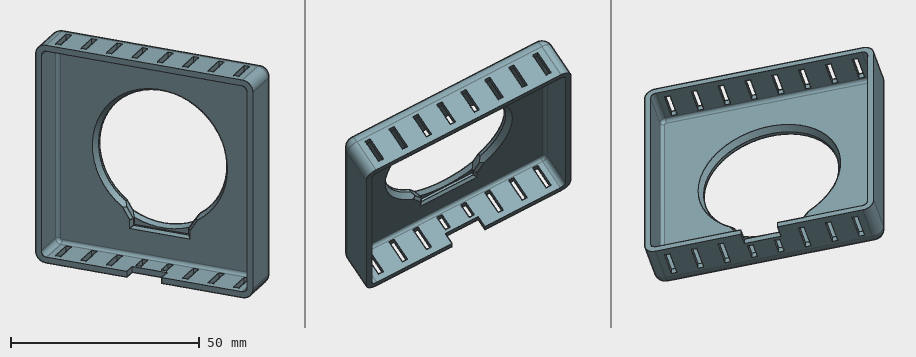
import cadquery as cq
import math

SIZE = 63.0
DEPTH = 13.0
WALL = 1.7
FLOOR = 2.65
EDGE_RADIUS = 3.0
INNER_CORNER_RADIUS = 1.5
INNER_FLOOR_RADIUS = 1.0

WINDOW_RADIUS = 18.6
COUNTERSINK_RADIUS = 19.6
COUNTERSINK_DEPTH = 1.75

KEY_WIDTH = 16.0
KEY_BOTTOM = -21.4
KEY_SHOULDER = -19.45
KEY_TOP = -12.6
KEY_FLARE_ANGLE = 32
KEY_CHAMFER = 0.75
CHAMFER_ANGLE = 45
KEY_DEPTH = 1.45
KEY_TAPER_INNER_RADIUS = 21.0
KEY_TAPER_OUTER_RADIUS = 20.05

SLOT_COUNT = 8
SLOT_PITCH = 7.4
SLOT_WIDTH = 1.5
SLOT_LENGTH = 7.0
SLOT_SETBACK = 4.05
SHORT_SLOT_LENGTH = 4.35

NOTCH_WIDTH = 10.1
NOTCH_DEPTH = 3.5

FLOOR_Y = DEPTH - FLOOR
KEY_Y = FLOOR_Y + KEY_DEPTH
WALL_CUT_HEIGHT = 2 * WALL


def block(width, y_start, y_end, height, x=0, z=0):
    """Box centred at (x, z) that runs from y_start to y_end."""
    return cq.Workplane("XY").box(width, y_end - y_start, height).translate((x, (y_start + y_end) / 2, z))


def make_tray():
    outer = block(SIZE, 0, DEPTH, SIZE).edges("|Y").fillet(EDGE_RADIUS)
    outer = outer.faces(">Y").edges().fillet(EDGE_RADIUS)
    opening = SIZE - 2 * WALL
    cavity = block(opening, 0, FLOOR_Y, opening).edges("|Y").fillet(INNER_CORNER_RADIUS)
    cavity = cavity.faces(">Y").edges().fillet(INNER_FLOOR_RADIUS)
    return outer.cut(cavity)


def revolve_about_y(profile):
    return cq.Workplane("XY").polyline(profile).close().revolve(360, (0, 0, 0), (0, 1, 0))


def make_window():
    countersink_end = FLOOR_Y + COUNTERSINK_DEPTH
    return revolve_about_y([
        (0, FLOOR_Y),
        (COUNTERSINK_RADIUS, FLOOR_Y),
        (WINDOW_RADIUS, countersink_end),
        (WINDOW_RADIUS, DEPTH),
        (0, DEPTH),
    ])


def key_outline(y):
    """Key outline at depth y, on a plane that faces the rim."""
    half_width = KEY_WIDTH / 2
    half_top = half_width + (KEY_TOP - KEY_SHOULDER) * math.tan(math.radians(KEY_FLARE_ANGLE))
    points = [
        (half_width, KEY_BOTTOM),
        (half_width, KEY_SHOULDER),
        (half_top, KEY_TOP),
        (-half_top, KEY_TOP),
        (-half_width, KEY_SHOULDER),
        (-half_width, KEY_BOTTOM),
    ]
    return cq.Workplane("XZ", origin=(0, y, 0)).polyline(points).close()


def make_key():
    pocket = key_outline(KEY_Y).extrude(KEY_DEPTH)
    widened = key_outline(FLOOR_Y).offset2D(KEY_CHAMFER, kind="intersection")
    chamfer = widened.extrude(-KEY_CHAMFER, taper=CHAMFER_ANGLE)
    tapered_disc = revolve_about_y([
        (0, KEY_Y),
        (KEY_TAPER_INNER_RADIUS, KEY_Y),
        (KEY_TAPER_OUTER_RADIUS, DEPTH),
        (0, DEPTH),
    ])
    opening = key_outline(DEPTH).extrude(DEPTH - KEY_Y).intersect(tapered_disc)
    return pocket.union(chamfer).union(opening)


def make_slots():
    slots = cq.Workplane("XY")
    slot_end = DEPTH - SLOT_SETBACK
    for index in range(SLOT_COUNT):
        x = (index - (SLOT_COUNT - 1) / 2) * SLOT_PITCH
        beside_notch = abs(x) < NOTCH_WIDTH / 2
        bottom_length = SHORT_SLOT_LENGTH if beside_notch else SLOT_LENGTH
        for length, z in ((SLOT_LENGTH, SIZE / 2), (bottom_length, -SIZE / 2)):
            slots = slots.add(block(SLOT_WIDTH, slot_end - length, slot_end, WALL_CUT_HEIGHT, x, z))
    return slots.combine()


def make_notch():
    return block(NOTCH_WIDTH, 0, NOTCH_DEPTH, WALL_CUT_HEIGHT, z=-SIZE / 2)


result = make_tray().cut(make_window()).cut(make_key()).cut(make_slots()).cut(make_notch())